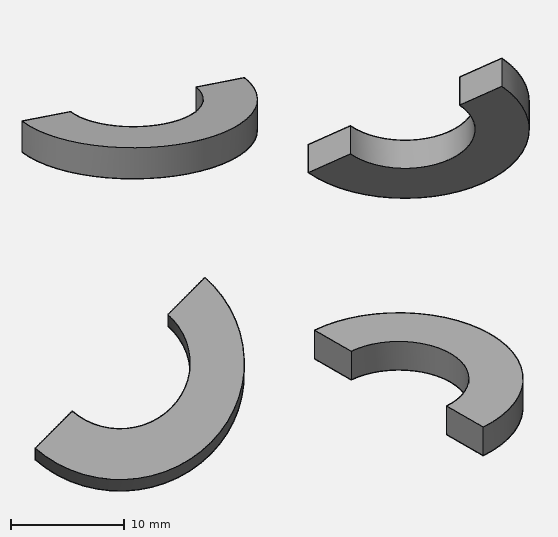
import cadquery as cq

outer_diameter = 22.0
inner_diameter = 12.4
thickness = 3.0

outer_radius = outer_diameter / 2
inner_radius = inner_diameter / 2


def half_ring():
    """Half of a flat ring on the +X side, with its cut ends on the YZ plane."""
    return (
        cq.Workplane("XY")
        .moveTo(0, -outer_radius)
        .threePointArc((outer_radius, 0), (0, outer_radius))
        .lineTo(0, inner_radius)
        .threePointArc((inner_radius, 0), (0, -inner_radius))
        .close()
        .extrude(thickness)
    )


result = half_ring()